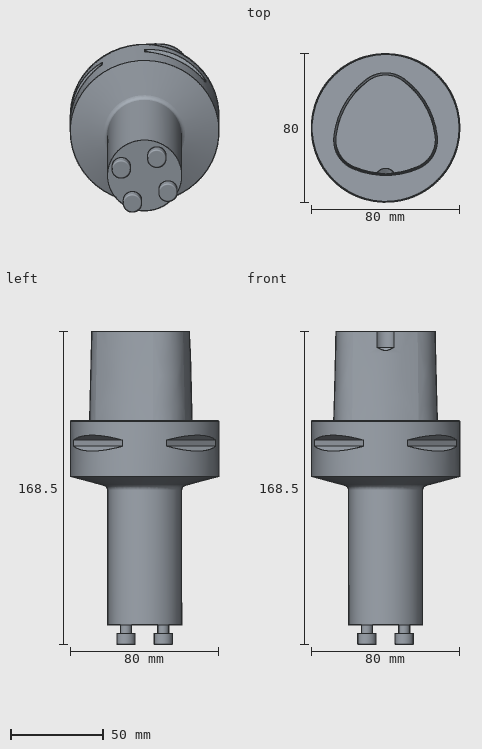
import cadquery as cq
import math

total_length = 168.5
taper_length = 48.0
flange_height = 30.0
shank_bottom = 10.6
flange_top = total_length - taper_length
flange_bottom = flange_top - flange_height

flange_radius = 80.0 / 2
shank_radius = 40.0 / 2
flange_edge_chamfer = 0.5
cone_angle = 15.0
neck_fillet = 2.5

lobe_radius = 16.9
lobe_offset = 12.8
flat_radius = 44.5
taper_inset = 1.2

notch_radius = 5.4
notch_center_y = -27.1
notch_depth = 8.6
notch_tip_angle = 118.0

groove_floor_distance = 35.4
groove_floor_height = 3.2
groove_wall_angle = 30.0
groove_below_flange_top = 12.1

screw_shank_radius = 6.0 / 2
screw_head_radius = 10.0 / 2
screw_head_height = 6.0
screw_head_fillet = 0.7
screw_spacing = 20.0


def polar(radius, angle):
    """Point at a polar angle in degrees."""
    return (radius * math.cos(math.radians(angle)), radius * math.sin(math.radians(angle)))


def lobed_outline(height, inset):
    """Closed wire of three lobe arcs joined by three tangent flatter arcs, moved inward by inset."""
    center_gap = flat_radius - lobe_radius
    sideways = lobe_offset * math.sin(math.radians(60))
    flat_offset = math.sqrt(center_gap**2 - sideways**2) - lobe_offset * math.cos(math.radians(60))
    flat_half_angle = math.degrees(math.asin(sideways / center_gap))

    def flat_point(flat_angle, turn):
        center = polar(flat_offset, flat_angle + 180)
        reach = polar(flat_radius - inset, flat_angle + turn)
        return (center[0] + reach[0], center[1] + reach[1])

    outline = cq.Workplane("XY").workplane(offset=height).moveTo(*flat_point(-90, -flat_half_angle))
    for flat_angle in (-90, 30, 150):
        outline = outline.threePointArc(flat_point(flat_angle, 0), flat_point(flat_angle, flat_half_angle))
        lobe_tip = polar(lobe_offset + lobe_radius - inset, flat_angle + 60)
        outline = outline.threePointArc(lobe_tip, flat_point(flat_angle + 120, -flat_half_angle))
    return outline.close().val()


def tapered_polygon():
    base = lobed_outline(flange_top, 0)
    top = lobed_outline(total_length, taper_inset)
    return cq.Workplane(cq.Solid.makeLoft([base, top], True))


def drilled_notch():
    """Vertical drill shape with a conical tip."""
    floor = total_length - notch_depth
    tip_height = notch_radius / math.tan(math.radians(notch_tip_angle / 2))
    return (
        cq.Workplane("XZ")
        .moveTo(0, floor - tip_height)
        .lineTo(notch_radius, floor)
        .lineTo(notch_radius, total_length)
        .lineTo(0, total_length)
        .close()
        .revolve(360, (0, 0), (0, 1))
        .translate((0, notch_center_y, 0))
    )


def flange_and_shank():
    cone_drop = (flange_radius - shank_radius) * math.tan(math.radians(cone_angle))
    neck_height = flange_bottom - cone_drop
    body = (
        cq.Workplane("XZ")
        .moveTo(0, shank_bottom)
        .lineTo(shank_radius, shank_bottom)
        .lineTo(shank_radius, neck_height)
        .lineTo(flange_radius, flange_bottom)
        .lineTo(flange_radius, flange_top)
        .lineTo(0, flange_top)
        .close()
        .revolve(360, (0, 0), (0, 1))
    )
    neck_edge = cq.selectors.NearestToPointSelector((0, 0, neck_height))
    body = body.edges("%CIRCLE").edges(neck_edge).fillet(neck_fillet)
    return body.faces(">Z").edges().chamfer(flange_edge_chamfer)


def gripper_groove():
    """Straight groove on the +X side with a flat floor and sloping walls."""
    overcut = 1.7
    rim_distance = flange_radius + overcut
    half_floor = groove_floor_height / 2
    wall_slope = math.tan(math.radians(groove_wall_angle))
    half_mouth = half_floor + (rim_distance - groove_floor_distance) * wall_slope
    return (
        cq.Workplane("XZ")
        .workplane(offset=-flange_radius)
        .center(0, flange_top - groove_below_flange_top)
        .moveTo(groove_floor_distance, -half_floor)
        .lineTo(rim_distance, -half_mouth)
        .lineTo(rim_distance, half_mouth)
        .lineTo(groove_floor_distance, half_floor)
        .close()
        .extrude(2 * flange_radius)
    )


def cap_screws():
    positions = cq.Workplane("XY").rect(screw_spacing, screw_spacing, forConstruction=True).vertices()
    heads = positions.circle(screw_head_radius).extrude(screw_head_height)
    heads = heads.faces("<Z").edges().fillet(screw_head_fillet)
    shanks = positions.circle(screw_shank_radius).extrude(shank_bottom)
    return heads.union(shanks)


body = flange_and_shank()
for groove_angle in (45, 135, 225, 315):
    body = body.cut(gripper_groove().rotate((0, 0, 0), (0, 0, 1), groove_angle))

result = body.union(tapered_polygon().cut(drilled_notch())).union(cap_screws())